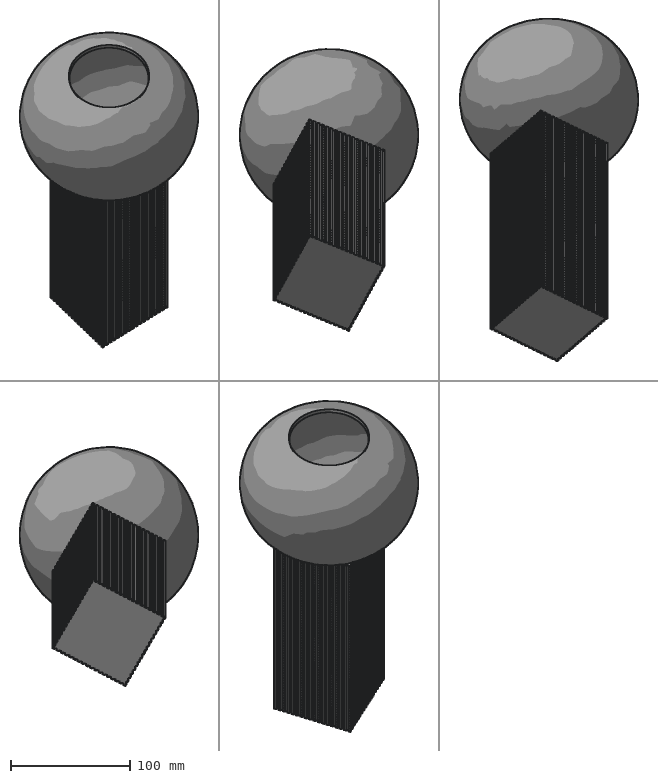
import cadquery as cq
import math

total_height = 299.5

bowl_diameter = 150.0
opening_radius = 33.8
bowl_height = 107.0
wall = 3.0

post_side = 70.0
groove_count = 17
groove_depth = 1.0

bowl_radius = bowl_diameter / 2
bowl_half_height = bowl_height / 2
bulge = bowl_radius - opening_radius
wall_arc_radius = (bulge**2 + bowl_half_height**2) / (2 * bulge)
wall_arc_centre = bowl_radius - wall_arc_radius
rim_angle = math.asin(bowl_half_height / wall_arc_radius)

post_height = total_height - bowl_height
groove_width = post_side / (2 * groove_count + 1)
groove_pitch = 2 * groove_width


def wall_point(arc_radius, angle):
    """Point of a wall arc on the -X side, at an angle above the equator."""
    return (-wall_arc_centre - arc_radius * math.cos(angle), arc_radius * math.sin(angle))


def make_upper_front_quarter():
    """Wall between the equator and the upper opening, swept half a turn, centred on the origin."""
    inner_arc_radius = wall_arc_radius - wall
    profile = (
        cq.Workplane("XZ")
        .moveTo(*wall_point(wall_arc_radius, 0))
        .threePointArc(
            wall_point(wall_arc_radius, rim_angle / 2),
            wall_point(wall_arc_radius, rim_angle),
        )
        .lineTo(*wall_point(inner_arc_radius, rim_angle))
        .threePointArc(
            wall_point(inner_arc_radius, rim_angle / 2),
            wall_point(inner_arc_radius, 0),
        )
        .close()
    )
    return profile.revolve(180, (0, 0, 0), (0, 1, 0))


def make_bowl():
    """Four turned copies of the quarter joined into one solid, seated on top of the post."""
    quarter = make_upper_front_quarter()
    upper_half = quarter.union(quarter.rotate((0, 0, 0), (0, 0, 1), 180))
    bowl = upper_half.union(upper_half.rotate((0, 0, 0), (1, 0, 0), 180))
    return bowl.translate((0, 0, post_height + bowl_half_height))


def make_grooves():
    """Cutters for the grooves in the -X and +X sides of the post, centred on those two faces."""
    cutter_width = 2 * groove_depth
    return (
        cq.Workplane("XY")
        .rarray(post_side, groove_pitch, 2, groove_count)
        .rect(cutter_width, groove_width)
        .extrude(post_height)
    )


def make_post():
    grooves = make_grooves()
    post = cq.Workplane("XY").rect(post_side, post_side).extrude(post_height)
    return post.cut(grooves).cut(grooves.rotate((0, 0, 0), (0, 0, 1), 90))


bowl = make_bowl()
post = make_post()
result = cq.Compound.makeCompound([bowl.val(), post.val()])